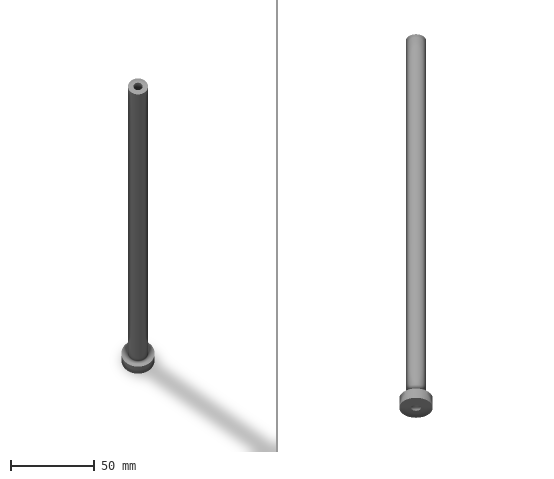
import cadquery as cq

total_length = 275.0
head_diameter = 20.0
head_height = 7.0
shank_diameter = 12.0
neck_fillet_radius = 0.5

guide_diameter = 5.5
guide_length = 45.0
relief_diameter = 6.0


def make_body():
    """Solid head and shank turned about the Z axis, with the neck fillet."""
    shank_radius = shank_diameter / 2
    head_radius = head_diameter / 2
    half_section = (
        cq.Workplane("XZ")
        .lineTo(-head_radius, 0)
        .lineTo(-head_radius, head_height)
        .lineTo(-shank_radius - neck_fillet_radius, head_height)
        .radiusArc((-shank_radius, head_height + neck_fillet_radius), -neck_fillet_radius)
        .lineTo(-shank_radius, total_length)
        .lineTo(0, total_length)
        .close()
    )
    return half_section.revolve(360, (0, 0, 0), (0, 1, 0))


def make_bore():
    """Guide bore along the full length, joined with the wider relief below it."""
    guide = cq.Workplane("XY").circle(guide_diameter / 2).extrude(total_length)
    relief = cq.Workplane("XY").circle(relief_diameter / 2).extrude(total_length - guide_length)
    return guide.union(relief)


result = make_body().cut(make_bore())